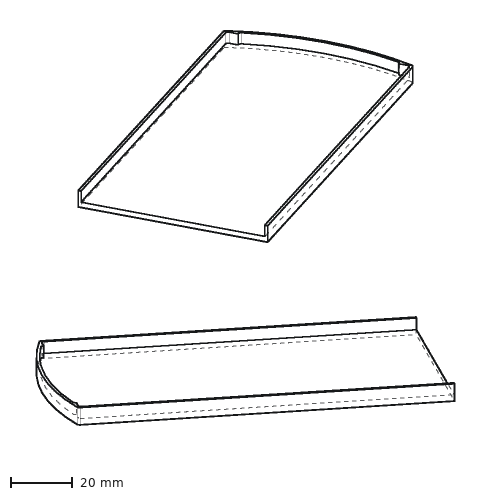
import cadquery as cq

width = 66.5
length = 129.8
height = 6.0

floor_thickness = 2.0
wall = 1.0
arch_rise = 5.6
outer_corner_radius = 1.0
inner_corner_radius = 0.9
ledge_width = 4.0
ledge_drop = 6.0
notch_radius = 1.0

half_width = width / 2
half_length = length / 2
shoulder_y = half_length - arch_rise
arch_radius = (half_width**2 + arch_rise**2) / (2 * arch_rise)
arch_center_y = half_length - arch_radius


def make_body():
    """Solid block with a curved +Y end and rounded corners there."""
    return (
        cq.Workplane("XY")
        .moveTo(-half_width, -half_length)
        .lineTo(half_width, -half_length)
        .lineTo(half_width, shoulder_y)
        .threePointArc((0, half_length), (-half_width, shoulder_y))
        .close()
        .extrude(height)
        .edges("|Z").edges(">Y")
        .fillet(outer_corner_radius)
    )


def make_cavity():
    """Space above the floor, open at the top and at the -Y end."""
    inner_half_width = half_width - wall
    step_x = inner_half_width - ledge_width
    ledge_y = half_length - ledge_drop
    inner_arch_radius = arch_radius - wall
    step_top_y = arch_center_y + (inner_arch_radius**2 - step_x**2) ** 0.5
    cavity = (
        cq.Workplane("XY", origin=(0, 0, floor_thickness))
        .moveTo(-inner_half_width, -half_length)
        .lineTo(inner_half_width, -half_length)
        .lineTo(inner_half_width, ledge_y)
        .lineTo(step_x, ledge_y)
        .lineTo(step_x, step_top_y)
        .threePointArc((0, half_length - wall), (-step_x, step_top_y))
        .lineTo(-step_x, ledge_y)
        .lineTo(-inner_half_width, ledge_y)
        .close()
        .extrude(height - floor_thickness)
    )
    for side in (-1, 1):
        corner = (side * inner_half_width, ledge_y, floor_thickness)
        cavity = cavity.edges("|Z").edges(cq.NearestToPointSelector(corner)).fillet(inner_corner_radius)
        step_top = (side * step_x, step_top_y, floor_thickness)
        cavity = cavity.edges("|Z").edges(cq.NearestToPointSelector(step_top)).fillet(notch_radius)
    return cavity


result = make_body().cut(make_cavity())